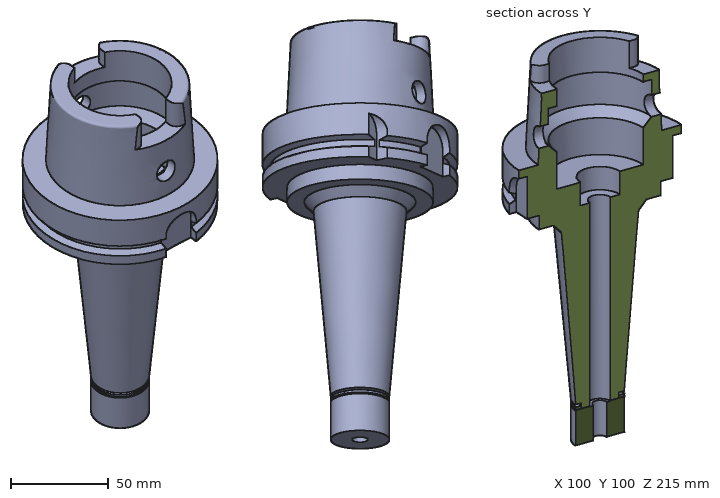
import cadquery as cq
import math

total_height = 215.0
flange_top_z = 165.1
flange_bottom_z = 136.0
collar_bottom_z = 128.1
arm_top_z = 123.2
arm_bottom_z = 23.2
ring_top_z = 22.0
nut_top_z = 20.0

flange_radius = 49.99
shank_base_radius = 38.0
collar_radius = 37.5
cone_top_radius = 28.5
arm_top_radius = 23.9
nose_radius = 15.0
spigot_radius = 11.6
ring_chamfer = 0.6

taper_ratio = 0.05
shank_top_radius = shank_base_radius - taper_ratio * (total_height - flange_top_z)
rim_fillet = 1.5

groove_z = 145.0
groove_half_width = 3.2
groove_radius = 46.2
groove_floor_half_width = 1.7

mouth_radius = 26.5
mouth_depth = 19.8
recess_radius = 31.5
recess_bottom_z = 174.5
cavity_floor_z = 148.5
thread_radius = 12.0
thread_bottom_z = 135.5
bore_radius = 6.2
nut_hole_radius = 4.0

notch_width = 20.0
notch_wall_x = 32.2
notch_fillet = 5.0
left_notch_depth = 9.9
right_notch_depth = 15.3

cross_hole_radius = 6.0
cross_hole_z = 180.4

slot_width = 20.0
slot_radius = slot_width / 2
slot_centre_z = 150.0
keyway_floor_x = 44.7
pocket_floor_x = 32.2
pocket_y = 41.3


def cylinder(radius, bottom_z, top_z):
    return cq.Workplane("XY").workplane(offset=bottom_z).circle(radius).extrude(top_z - bottom_z)


def revolved(outline):
    """Solid of revolution about Z from a (radius, height) outline."""
    return cq.Workplane("YZ").polyline(outline).close().revolve(360, (0, 0, 0), (0, 1, 0))


def holder_blank():
    """Turned outside of the holder: shank, grooved flange, collar, arm and spigot."""
    outline = [
        (0, nut_top_z),
        (spigot_radius, nut_top_z),
        (spigot_radius, arm_bottom_z),
        (nose_radius, arm_bottom_z),
        (arm_top_radius, arm_top_z),
        (cone_top_radius, collar_bottom_z),
        (collar_radius, collar_bottom_z),
        (collar_radius, flange_bottom_z),
        (flange_radius, flange_bottom_z),
        (flange_radius, groove_z - groove_half_width),
        (groove_radius, groove_z - groove_floor_half_width),
        (groove_radius, groove_z + groove_floor_half_width),
        (flange_radius, groove_z + groove_half_width),
        (flange_radius, flange_top_z),
        (shank_base_radius, flange_top_z),
        (shank_top_radius, total_height),
        (0, total_height),
    ]
    return revolved(outline).faces(">Z").edges().fillet(rim_fillet)


def holder_bores():
    """Stepped hollow on the axis: a mouth, a wider recess coned back to it, a thread bore and a bore."""
    mouth_bottom_z = total_height - mouth_depth
    cone_bottom_z = recess_bottom_z - (recess_radius - mouth_radius)
    outline = [
        (0, nut_top_z),
        (bore_radius, nut_top_z),
        (bore_radius, thread_bottom_z),
        (thread_radius, thread_bottom_z),
        (thread_radius, cavity_floor_z),
        (mouth_radius, cavity_floor_z),
        (mouth_radius, cone_bottom_z),
        (recess_radius, recess_bottom_z),
        (recess_radius, mouth_bottom_z),
        (mouth_radius, mouth_bottom_z),
        (mouth_radius, total_height),
        (0, total_height),
    ]
    return revolved(outline)


def drive_notch(side, depth):
    """Notch on one side of the rim (side is -1 or 1): a parallel slot that flares outward."""
    half_width = notch_width / 2
    fillet_start_x = notch_wall_x - notch_fillet
    flare_y = half_width + notch_fillet
    arc_offset = notch_fillet * math.sqrt(0.5)
    arc_x = fillet_start_x + arc_offset
    arc_y = flare_y - arc_offset
    outline = (
        cq.Workplane("XY")
        .workplane(offset=total_height - depth)
        .moveTo(0, -half_width)
        .lineTo(side * fillet_start_x, -half_width)
        .threePointArc((side * arc_x, -arc_y), (side * notch_wall_x, -flare_y))
        .lineTo(side * notch_wall_x, -flange_radius)
        .lineTo(side * flange_radius, -flange_radius)
        .lineTo(side * flange_radius, flange_radius)
        .lineTo(side * notch_wall_x, flange_radius)
        .lineTo(side * notch_wall_x, flare_y)
        .threePointArc((side * arc_x, arc_y), (side * fillet_start_x, half_width))
        .lineTo(0, half_width)
        .close()
    )
    return outline.extrude(depth)


def cross_hole():
    hole = cq.Workplane("YZ").center(0, cross_hole_z).circle(cross_hole_radius)
    return hole.extrude(flange_radius, both=True)


def flange_slot(side, floor_x, centre_y):
    """Round-topped slot in the flange, open below and outward, with a flat floor facing X."""
    slot = (
        cq.Workplane("YZ")
        .workplane(offset=side * floor_x)
        .moveTo(centre_y - slot_radius, flange_bottom_z)
        .lineTo(centre_y - slot_radius, slot_centre_z)
        .threePointArc((centre_y, slot_centre_z + slot_radius), (centre_y + slot_radius, slot_centre_z))
        .lineTo(centre_y + slot_radius, flange_bottom_z)
        .close()
    )
    return slot.extrude(side * (flange_radius - floor_x))


def build_holder():
    return (
        holder_blank()
        .cut(holder_bores())
        .cut(drive_notch(-1, left_notch_depth))
        .cut(drive_notch(1, right_notch_depth))
        .cut(cross_hole())
        .cut(flange_slot(-1, keyway_floor_x, 0))
        .cut(flange_slot(1, keyway_floor_x, 0))
        .cut(flange_slot(-1, pocket_floor_x, pocket_y))
    )


def build_ring():
    """Flat ring around the spigot, chamfered where it meets the nut."""
    ring = cylinder(nose_radius, nut_top_z, ring_top_z).faces("<Z").edges().chamfer(ring_chamfer)
    return ring.cut(cylinder(spigot_radius, nut_top_z, ring_top_z))


def build_nut():
    """Cylindrical end piece below the spigot, with the smallest axial hole."""
    return cylinder(nose_radius, 0, nut_top_z).cut(cylinder(nut_hole_radius, 0, nut_top_z))


holder = build_holder()
ring = build_ring()
nut = build_nut()

result = cq.Compound.makeCompound([holder.val(), ring.val(), nut.val()])